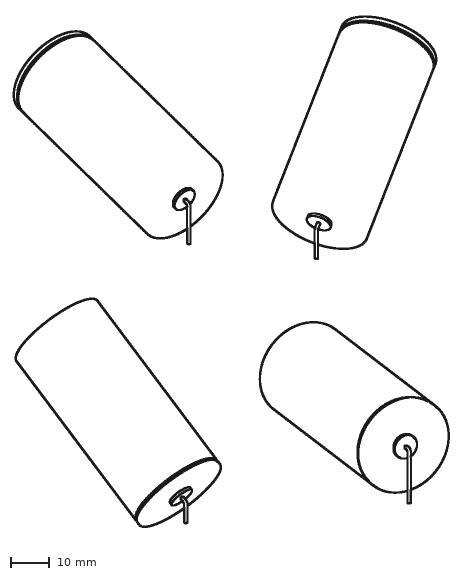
import cadquery as cq
import math

overall_length = 60.9
body_diameter = 26.0
body_length = 54.8
rim_fillet = 0.2

groove_offset = 1.0
groove_width = 1.1
groove_depth = 0.25
cutter_clearance = 0.6

boss_diameter = 6.5
boss_height = 0.8

lead_diameter = 0.9
bend_radius = 0.9
lead_drop = 15.0

body_radius = body_diameter / 2
half_length = body_length / 2
diagonal = math.sqrt(0.5)


def make_body():
    """Solid can with rounded rims."""
    can = cq.Workplane("YZ").circle(body_radius).extrude(half_length, both=True)
    return can.edges("%CIRCLE").fillet(rim_fillet)


def make_groove_cutter():
    """Ring that cuts the groove, with a flat floor and convex rounded walls."""
    start = groove_offset - half_length
    end = start + groove_width
    floor_radius = body_radius - groove_depth
    clearance_radius = body_radius + cutter_clearance
    bulge_run = groove_depth * diagonal
    bulge_radius = body_radius - groove_depth * (1 - diagonal)
    profile = (
        cq.Workplane("XY")
        .moveTo(start, clearance_radius)
        .lineTo(start, body_radius)
        .threePointArc((start + bulge_run, bulge_radius), (start + groove_depth, floor_radius))
        .lineTo(end - groove_depth, floor_radius)
        .threePointArc((end - bulge_run, bulge_radius), (end, body_radius))
        .lineTo(end, clearance_radius)
        .close()
    )
    return profile.revolve(360, (0, 0, 0), (1, 0, 0))


def make_terminal():
    """Boss and downward-bent lead for the +X end."""
    boss = (
        cq.Workplane("YZ", origin=(half_length, 0, 0))
        .circle(boss_diameter / 2)
        .extrude(boss_height)
    )
    lead_x = (overall_length - lead_diameter) / 2
    bend_start = lead_x - bend_radius
    bend_offset = bend_radius * diagonal
    path = (
        cq.Workplane("XZ")
        .moveTo(half_length, 0)
        .lineTo(bend_start, 0)
        .threePointArc((bend_start + bend_offset, bend_offset - bend_radius), (lead_x, -bend_radius))
        .lineTo(lead_x, -lead_drop)
    )
    lead = (
        cq.Workplane("YZ", origin=(half_length, 0, 0))
        .circle(lead_diameter / 2)
        .sweep(path)
    )
    return boss.union(lead)


terminal = make_terminal()
result = (
    make_body()
    .cut(make_groove_cutter())
    .union(terminal)
    .union(terminal.mirror("YZ"))
)